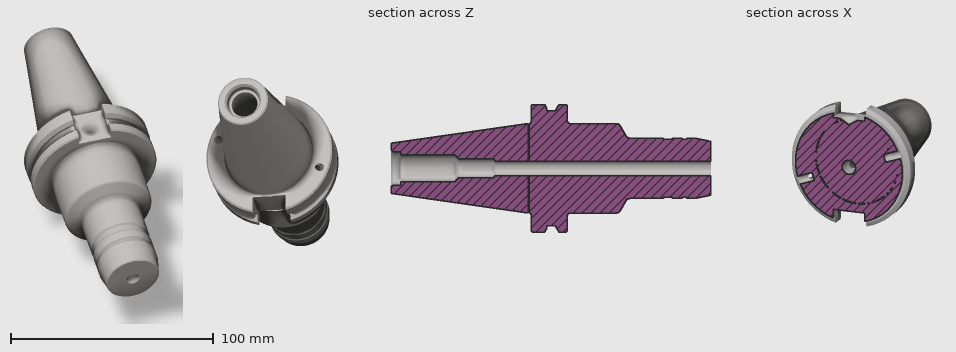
import cadquery as cq
import math

total_length = 158.2

taper_end_x = 67.9
taper_small_radius = 25.2 / 2
taper_large_radius = 44.5 / 2
taper_tip_chamfer = 0.6

neck_radius = 43.8 / 2
neck_start_x = 68.2

flange_radius = 63.3 / 2
flange_start_x = 69.2
flange_end_x = 87.4
flange_chamfer = 0.8
flange_root_fillet = 1.1

groove_center_x = 79.3
groove_floor_radius = 57.0 / 2
groove_front_x = 77.2
groove_back_x = 81.2
groove_flank_tangent = math.tan(math.radians(30))
groove_front_wall = 1.1

body_radius = taper_large_radius
shoulder_start_x = 111.4
shoulder_angle = math.radians(60)
shoulder_fillet = 2.2

nose_radius = 30.0 / 2
ring_radius = 29.0 / 2
ring_spans = [(134.4, 139.4), (143.5, 146.4)]
nose_cone_start_x = 150.0
nose_tip_radius = 26.9 / 2
nose_tip_chamfer = 0.5

mouth_radius = 18.2 / 2
mouth_depth = 1.5
pilot_radius = 16.3 / 2
pilot_depth = 4.7
thread_bore_radius = 13.0 / 2
thread_bore_depth = 31.6
channel_radius = 9.0 / 2
channel_depth = 50.6
through_radius = 7.0 / 2

slot_width = 16.5
top_slot_floor_z = 25.0
bottom_slot_floor_z = -22.8

dimple_radius = 9.5 / 2
dimple_half_angle = math.radians(59)

coolant_turn = 20.0
coolant_mouth_radius = 27.0
coolant_slant = math.radians(33)
coolant_counterbore_diameter = 4.0
coolant_counterbore_depth = 2.4
coolant_diameter = 3.2
groove_hole_diameter = 4.0
overshoot = 3.2


def draw_flange(outline):
    """Continue the outline from the neck, over the grooved flange, to the body."""
    flank_height = flange_radius - groove_floor_radius
    front_flank_height = flank_height - groove_front_wall
    bend = flange_root_fillet * (1 - math.sqrt(0.5))
    return (
        outline
        .lineTo(flange_start_x - flange_root_fillet, neck_radius)
        .threePointArc(
            (flange_start_x - bend, neck_radius + bend),
            (flange_start_x, neck_radius + flange_root_fillet),
        )
        .lineTo(flange_start_x, flange_radius - flange_chamfer)
        .lineTo(flange_start_x + flange_chamfer, flange_radius)
        .lineTo(groove_front_x - front_flank_height * groove_flank_tangent, flange_radius)
        .lineTo(groove_front_x, groove_floor_radius + groove_front_wall)
        .lineTo(groove_front_x, groove_floor_radius)
        .lineTo(groove_back_x, groove_floor_radius)
        .lineTo(groove_back_x + flank_height * groove_flank_tangent, flange_radius)
        .lineTo(flange_end_x - flange_chamfer, flange_radius)
        .lineTo(flange_end_x, flange_radius - flange_chamfer)
        .lineTo(flange_end_x, body_radius + flange_root_fillet)
        .threePointArc(
            (flange_end_x + bend, body_radius + bend),
            (flange_end_x + flange_root_fillet, body_radius),
        )
    )


def draw_shoulder(outline):
    """Continue the outline down the filleted cone from the body to the nose."""
    run = shoulder_fillet * math.sin(shoulder_angle)
    drop = shoulder_fillet * (1 - math.cos(shoulder_angle))
    half_run = shoulder_fillet * math.sin(shoulder_angle / 2)
    half_drop = shoulder_fillet * (1 - math.cos(shoulder_angle / 2))
    cone_drop = body_radius - nose_radius - 2 * drop
    cone_start_x = shoulder_start_x + run
    shoulder_end_x = cone_start_x + cone_drop / math.tan(shoulder_angle) + run
    return (
        outline
        .lineTo(shoulder_start_x, body_radius)
        .threePointArc(
            (shoulder_start_x + half_run, body_radius - half_drop),
            (cone_start_x, body_radius - drop),
        )
        .lineTo(shoulder_end_x - run, nose_radius + drop)
        .threePointArc(
            (shoulder_end_x - half_run, nose_radius + half_drop),
            (shoulder_end_x, nose_radius),
        )
    )


def draw_nose(outline):
    """Continue the outline along the ringed nose to the end face on the axis."""
    ring_depth = nose_radius - ring_radius
    for start_x, end_x in ring_spans:
        outline = (
            outline
            .lineTo(start_x, nose_radius)
            .lineTo(start_x + ring_depth, ring_radius)
            .lineTo(end_x - ring_depth, ring_radius)
            .lineTo(end_x, nose_radius)
        )
    return (
        outline
        .lineTo(nose_cone_start_x, nose_radius)
        .lineTo(total_length - nose_tip_chamfer, nose_tip_radius)
        .lineTo(total_length, nose_tip_radius - nose_tip_chamfer)
        .lineTo(total_length, 0)
    )


def make_turned_body():
    outline = (
        cq.Workplane("XY")
        .lineTo(0, taper_small_radius - taper_tip_chamfer)
        .lineTo(taper_tip_chamfer, taper_small_radius)
        .lineTo(taper_end_x, taper_large_radius)
        .lineTo(neck_start_x, neck_radius)
    )
    outline = draw_nose(draw_shoulder(draw_flange(outline)))
    return outline.close().revolve(360, (0, 0, 0), (1, 0, 0))


def make_bore():
    """Stepped bore with 45 degree transitions below the thread bore."""
    thread_cone_end_x = thread_bore_depth + thread_bore_radius - channel_radius
    channel_cone_end_x = channel_depth + channel_radius - through_radius
    return (
        cq.Workplane("XY")
        .lineTo(0, mouth_radius)
        .lineTo(mouth_depth, pilot_radius)
        .lineTo(pilot_depth, pilot_radius)
        .lineTo(pilot_depth, thread_bore_radius)
        .lineTo(thread_bore_depth, thread_bore_radius)
        .lineTo(thread_cone_end_x, channel_radius)
        .lineTo(channel_depth, channel_radius)
        .lineTo(channel_cone_end_x, through_radius)
        .lineTo(total_length, through_radius)
        .lineTo(total_length, 0)
        .close()
        .revolve(360, (0, 0, 0), (1, 0, 0))
    )


def make_drive_slot(floor_z):
    """Slot block from the floor outwards, up or down by the sign of floor_z."""
    height = math.copysign(flange_radius, floor_z)
    center_x = (flange_start_x + flange_end_x) / 2
    return (
        cq.Workplane("XY", origin=(center_x, 0, floor_z))
        .rect(flange_end_x - flange_start_x, slot_width)
        .extrude(height)
    )


def make_dimple():
    depth = dimple_radius / math.tan(dimple_half_angle)
    cone = cq.Solid.makeCone(
        dimple_radius, 0, depth,
        cq.Vector(groove_center_x, 0, top_slot_floor_z), cq.Vector(0, 0, -1),
    )
    return cq.Workplane(cone)


def make_coolant_holes():
    """Slanted counterbored drilling on the +Y side, with the groove hole that meets it."""
    mouth = cq.Vector(flange_start_x, coolant_mouth_radius, 0)
    direction = cq.Vector(math.cos(coolant_slant), -math.sin(coolant_slant), 0)
    start = mouth - direction * overshoot
    reach = (groove_center_x - flange_start_x) / math.cos(coolant_slant)
    meeting_radius = coolant_mouth_radius - reach * math.sin(coolant_slant)
    counterbore = cq.Solid.makeCylinder(
        coolant_counterbore_diameter / 2, overshoot + coolant_counterbore_depth, start, direction
    )
    drilling = cq.Solid.makeCylinder(coolant_diameter / 2, overshoot + reach, start, direction)
    groove_hole = cq.Solid.makeCylinder(
        groove_hole_diameter / 2, flange_radius - meeting_radius,
        cq.Vector(groove_center_x, meeting_radius, 0), cq.Vector(0, 1, 0),
    )
    return cq.Workplane(counterbore).union(cq.Workplane(drilling)).union(cq.Workplane(groove_hole))


result = make_turned_body().cut(make_bore())
for slot_floor_z in (top_slot_floor_z, bottom_slot_floor_z):
    result = result.cut(make_drive_slot(slot_floor_z))
result = result.cut(make_dimple())
for side_turn in (0, 180):
    holes = make_coolant_holes().rotate((0, 0, 0), (1, 0, 0), coolant_turn + side_turn)
    result = result.cut(holes)